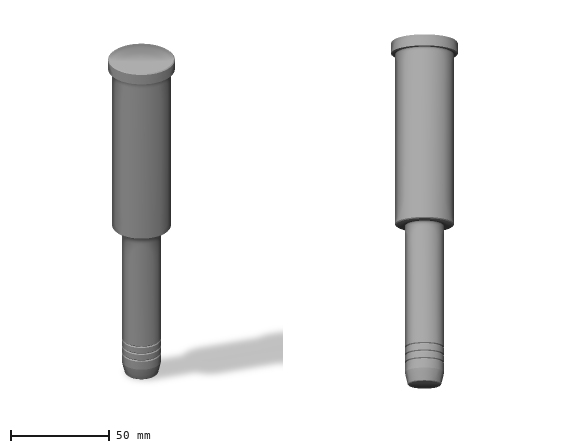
import cadquery as cq

total_length = 180.0
edge_chamfer = 0.5
head_diameter = 34.0
head_height = 6.0
body_diameter = 30.0
body_length = 90.2
pin_diameter = 20.0
relief_width = 0.5
relief_depth = 0.5
nose_length = 6.5
nose_tip_diameter = 16.4
nose_tip_chamfer = 0.4
nose_bulge = 0.1
groove_width = 0.97
groove_pitch = 4.0
groove_count = 3
lowest_groove_height = 11.5

head_radius = head_diameter / 2
body_radius = body_diameter / 2
pin_radius = pin_diameter / 2
head_bottom = total_length - head_height
body_bottom = head_bottom - body_length
nose_tip_radius = nose_tip_diameter / 2
nose_end_radius = nose_tip_radius + nose_tip_chamfer
nose_middle = (
    (pin_radius + nose_end_radius) / 2 + nose_bulge,
    (nose_length + nose_tip_chamfer) / 2,
)


def revolve_profile(profile):
    """Close a half profile (radius, height) and revolve it about the Z axis."""
    return profile.close().revolve(360, (0, 0, 0), (0, 1, 0))


def make_stepped_pin():
    """Head, body, pin and rounded nose as one turned shape."""
    return revolve_profile(
        cq.Workplane("XZ")
        .moveTo(0, 0)
        .lineTo(nose_tip_radius, 0)
        .lineTo(nose_end_radius, nose_tip_chamfer)
        .threePointArc(nose_middle, (pin_radius, nose_length))
        .lineTo(pin_radius, body_bottom)
        .lineTo(body_radius - edge_chamfer, body_bottom)
        .lineTo(body_radius, body_bottom + edge_chamfer)
        .lineTo(body_radius, head_bottom)
        .lineTo(head_radius, head_bottom)
        .lineTo(head_radius, total_length - edge_chamfer)
        .lineTo(head_radius - edge_chamfer, total_length)
        .lineTo(0, total_length)
    )


def make_relief(shaft_radius, shoulder_height):
    """Ring that undercuts a shaft directly beneath a shoulder."""
    return (
        cq.Workplane("XY")
        .workplane(offset=shoulder_height - relief_width)
        .circle(shaft_radius)
        .circle(shaft_radius - relief_depth)
        .extrude(relief_width)
    )


def make_v_groove(centre_height):
    """Triangular ring that cuts a V-groove into the pin."""
    half_width = groove_width / 2
    return revolve_profile(
        cq.Workplane("XZ")
        .moveTo(pin_radius - half_width, centre_height)
        .lineTo(pin_radius + half_width, centre_height - groove_width)
        .lineTo(pin_radius + half_width, centre_height + groove_width)
    )


result = make_stepped_pin()
result = result.cut(make_relief(body_radius, head_bottom))
result = result.cut(make_relief(pin_radius, body_bottom))
for index in range(groove_count):
    result = result.cut(make_v_groove(lowest_groove_height + index * groove_pitch))